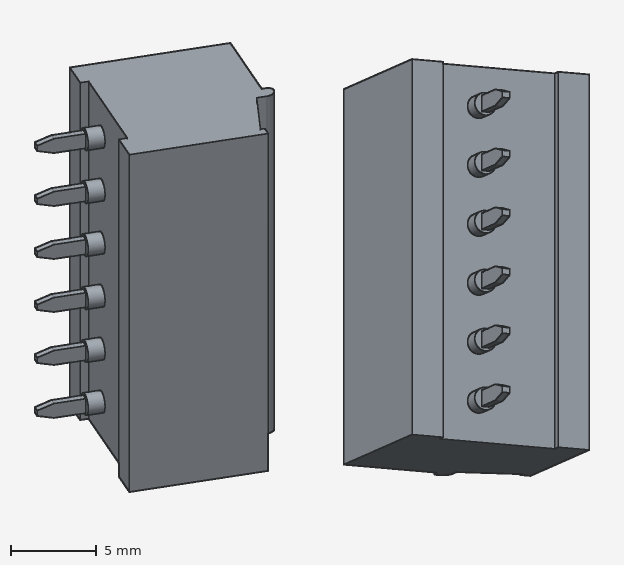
import cadquery as cq

length = 22.3
width = 11.3
foot_width = 1.98
foot_height = 0.51
back_height = 9.83

rib_left = 5.93
rib_top = 10.45
rib_left_radius = 0.35
rib_right_radius = 0.62

slope_start_height = 9.2
slope_end_height = 8.23
lip_width = 0.65
lip_height = 8.5

pin_count = 6
pin_pitch = 3.5
pin_x = 4.44
boss_diameter = 1.34
boss_length = 1.03
pin_thickness = 0.47
pin_height = 0.95
pin_reach = 3.5
taper_length = 1.03
tip_height = 0.35


def make_housing():
    rib_crest = rib_left + rib_left_radius
    rib_right = rib_crest + rib_right_radius
    outline = (
        cq.Workplane("XY")
        .moveTo(0, 0)
        .lineTo(foot_width, 0)
        .lineTo(foot_width, foot_height)
        .lineTo(width - foot_width, foot_height)
        .lineTo(width - foot_width, 0)
        .lineTo(width, 0)
        .lineTo(width, lip_height)
        .lineTo(width - lip_width, lip_height)
        .lineTo(width - lip_width, slope_end_height)
        .lineTo(rib_right, slope_start_height)
        .lineTo(rib_right, rib_top - rib_right_radius)
        .radiusArc((rib_crest, rib_top), -rib_right_radius)
        .radiusArc((rib_left, rib_top - rib_left_radius), -rib_left_radius)
        .lineTo(rib_left, back_height)
        .lineTo(0, back_height)
        .close()
    )
    return outline.extrude(length)


def make_contact(z):
    """Round boss on the recessed face carrying a flat pin with a tapered tip."""
    boss = (
        cq.Workplane("XZ", origin=(pin_x, foot_height, z))
        .circle(boss_diameter / 2)
        .extrude(boss_length)
    )
    half_height = pin_height / 2
    half_tip = tip_height / 2
    taper_start = taper_length - pin_reach
    pin = (
        cq.Workplane("YZ", origin=(pin_x, 0, z))
        .moveTo(foot_height, -half_height)
        .lineTo(foot_height, half_height)
        .lineTo(taper_start, half_height)
        .lineTo(-pin_reach, half_tip)
        .lineTo(-pin_reach, -half_tip)
        .lineTo(taper_start, -half_height)
        .close()
        .extrude(pin_thickness / 2, both=True)
    )
    return boss.union(pin)


result = make_housing()
first_pin_z = (length - (pin_count - 1) * pin_pitch) / 2
for index in range(pin_count):
    result = result.union(make_contact(first_pin_z + index * pin_pitch))